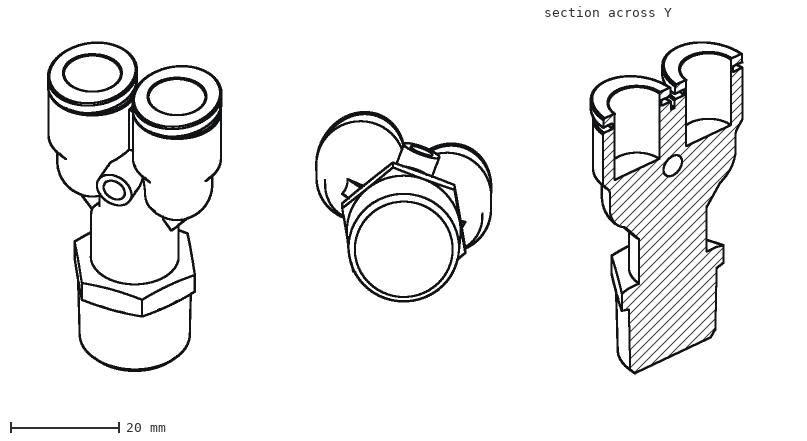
import cadquery as cq
import math

TOTAL_HEIGHT = 61.0
SOCKET_SPACING = 17.0

THREAD_TOP_RADIUS = 10.5
THREAD_END_RADIUS = 10.2
THREAD_TIP_RADIUS = 9.0
THREAD_TIP_HEIGHT = 1.35

HEX_ACROSS_FLATS = 21.0
HEX_BOTTOM = 15.05
HEX_TOP = 19.95
HEX_CHAMFER_ANGLE = 15.0

STEM_RADIUS = 8.1
STEM_NECK_RADIUS = 6.5
STEM_SHOULDER_BOTTOM = 29.95
STEM_SHOULDER_TOP = 32.0
STEM_SHOULDER_FILLET = 0.85
STEM_DOME_HEIGHT = 39.5

SOCKET_RADIUS = 16.3 / 2
SOCKET_NECK_RADIUS = STEM_NECK_RADIUS
SOCKET_TOP = 57.75
SOCKET_TOP_CHAMFER = 0.25
SOCKET_SHOULDER_TOP = 46.0
SOCKET_SHOULDER_BOTTOM = 43.9
SOCKET_SHOULDER_FILLET = 0.85
DOME_CENTER_HEIGHT = 39.9

RING_WIDTH = 16.05
RING_LENGTH = 18.6
RING_BOTTOM = 58.9
RING_CHAMFER = 0.3
COLLAR_RADIUS = 11.8 / 2
BORE_RADIUS = 5.25
BORE_CHAMFER = 0.2
BORE_DEPTH = TOTAL_HEIGHT - SOCKET_SHOULDER_TOP

BOSS_RADIUS = 3.5
BOSS_LENGTH = 18.9
BOSS_HEIGHT = 42.95
BOSS_HOLE_RADIUS = 2.15

WEB_THICKNESS = 3.0
WEB_TOP = 55.9
GUSSET_OUTER_X = 11.85
GUSSET_OUTER_HEIGHT = 34.65


def revolve_polyline(profile):
    """Solid of revolution about Z from (radius, height) points."""
    return cq.Workplane("XZ").polyline(profile).close().revolve(360, (0, 0), (0, 1))


def round_shoulder(body, bottom, top, fillet):
    """Round both circular edges of a cone between two heights."""
    for height in (bottom, top):
        band = cq.selectors.BoxSelector(
            (-TOTAL_HEIGHT, -TOTAL_HEIGHT, height - fillet),
            (TOTAL_HEIGHT, TOTAL_HEIGHT, height + fillet),
        )
        body = body.edges("%CIRCLE").edges(band).fillet(fillet)
    return body


def thread():
    """Slightly tapered plug with a coned tip, up to the hexagon."""
    profile = [
        (0, 0),
        (THREAD_TIP_RADIUS, 0),
        (THREAD_END_RADIUS, THREAD_TIP_HEIGHT),
        (THREAD_TOP_RADIUS, HEX_BOTTOM),
        (0, HEX_BOTTOM),
    ]
    return revolve_polyline(profile)


def hexagon():
    """Hexagon with flats facing Y and its corners turned off at both ends."""
    flat_radius = HEX_ACROSS_FLATS / 2
    corner_radius = flat_radius / math.cos(math.pi / 6)
    corner_drop = (corner_radius - flat_radius) * math.tan(math.radians(HEX_CHAMFER_ANGLE))
    height = HEX_TOP - HEX_BOTTOM
    prism = (
        cq.Workplane("XY")
        .workplane(offset=HEX_BOTTOM)
        .polygon(6, 2 * corner_radius)
        .extrude(height)
    )
    turned_profile = [
        (0, HEX_BOTTOM),
        (flat_radius, HEX_BOTTOM),
        (corner_radius, HEX_BOTTOM + corner_drop),
        (corner_radius, HEX_TOP - corner_drop),
        (flat_radius, HEX_TOP),
        (0, HEX_TOP),
    ]
    turned = revolve_polyline(turned_profile)
    return prism.intersect(turned)


def stem():
    """Shouldered round stem on the hexagon, closed by a spherical upper end."""
    dome_middle = (
        STEM_NECK_RADIUS * math.sin(math.pi / 4),
        STEM_DOME_HEIGHT + STEM_NECK_RADIUS * math.cos(math.pi / 4),
    )
    body = (
        cq.Workplane("XZ")
        .moveTo(0, HEX_TOP)
        .lineTo(STEM_RADIUS, HEX_TOP)
        .lineTo(STEM_RADIUS, STEM_SHOULDER_BOTTOM)
        .lineTo(STEM_NECK_RADIUS, STEM_SHOULDER_TOP)
        .lineTo(STEM_NECK_RADIUS, STEM_DOME_HEIGHT)
        .threePointArc(dome_middle, (0, STEM_DOME_HEIGHT + STEM_NECK_RADIUS))
        .close()
        .revolve(360, (0, 0), (0, 1))
    )
    return round_shoulder(body, STEM_SHOULDER_BOTTOM, STEM_SHOULDER_TOP, STEM_SHOULDER_FILLET)


def socket(x):
    """Push-in socket with a rounded shoulder and a spherical lower end."""
    dome_bottom = DOME_CENTER_HEIGHT - SOCKET_NECK_RADIUS
    dome_middle = (
        SOCKET_NECK_RADIUS * math.cos(math.pi / 4),
        DOME_CENTER_HEIGHT - SOCKET_NECK_RADIUS * math.sin(math.pi / 4),
    )
    body = (
        cq.Workplane("XZ")
        .moveTo(0, dome_bottom)
        .threePointArc(dome_middle, (SOCKET_NECK_RADIUS, DOME_CENTER_HEIGHT))
        .lineTo(SOCKET_NECK_RADIUS, SOCKET_SHOULDER_BOTTOM)
        .lineTo(SOCKET_RADIUS, SOCKET_SHOULDER_TOP)
        .lineTo(SOCKET_RADIUS, SOCKET_TOP)
        .lineTo(0, SOCKET_TOP)
        .close()
        .revolve(360, (0, 0), (0, 1))
    )
    body = round_shoulder(body, SOCKET_SHOULDER_BOTTOM, SOCKET_SHOULDER_TOP, SOCKET_SHOULDER_FILLET)
    return body.faces(">Z").edges().chamfer(SOCKET_TOP_CHAMFER).translate((x, 0, 0))


def release_ring(x):
    """Oval flange on a round collar standing on the socket."""
    collar = (
        cq.Workplane("XY")
        .workplane(offset=SOCKET_TOP)
        .circle(COLLAR_RADIUS)
        .extrude(RING_BOTTOM - SOCKET_TOP)
    )
    flange = (
        cq.Workplane("XY")
        .workplane(offset=RING_BOTTOM)
        .ellipse(RING_WIDTH / 2, RING_LENGTH / 2)
        .extrude(TOTAL_HEIGHT - RING_BOTTOM)
        .faces(">Z")
        .edges()
        .chamfer(RING_CHAMFER)
    )
    return collar.union(flange).translate((x, 0, 0))


def bore(x):
    """Blind tube bore with a small chamfer at its mouth."""
    floor = TOTAL_HEIGHT - BORE_DEPTH
    profile = [
        (0, floor),
        (BORE_RADIUS, floor),
        (BORE_RADIUS, TOTAL_HEIGHT - BORE_CHAMFER),
        (BORE_RADIUS + BORE_CHAMFER, TOTAL_HEIGHT),
        (0, TOTAL_HEIGHT),
    ]
    cutter = revolve_polyline(profile)
    return cutter.translate((x, 0, 0))


def rod_along_y(radius):
    """Round bar through the middle of the boss, as long as the boss."""
    return cq.Workplane("XZ").center(0, BOSS_HEIGHT).circle(radius).extrude(BOSS_LENGTH / 2, both=True)


def web():
    """Flat plate joining the sockets, with sloping gussets down to the stem shoulder."""
    half_spacing = SOCKET_SPACING / 2
    outline = [
        (-STEM_RADIUS, STEM_SHOULDER_BOTTOM),
        (STEM_RADIUS, STEM_SHOULDER_BOTTOM),
        (GUSSET_OUTER_X, GUSSET_OUTER_HEIGHT),
        (half_spacing, DOME_CENTER_HEIGHT),
        (half_spacing, WEB_TOP),
        (-half_spacing, WEB_TOP),
        (-half_spacing, DOME_CENTER_HEIGHT),
        (-GUSSET_OUTER_X, GUSSET_OUTER_HEIGHT),
    ]
    return cq.Workplane("XZ").polyline(outline).close().extrude(WEB_THICKNESS / 2, both=True)


socket_positions = (-SOCKET_SPACING / 2, SOCKET_SPACING / 2)

result = thread().union(hexagon()).union(stem()).union(web()).union(rod_along_y(BOSS_RADIUS))
for x in socket_positions:
    result = result.union(socket(x)).union(release_ring(x))
for x in socket_positions:
    result = result.cut(bore(x))
result = result.cut(rod_along_y(BOSS_HOLE_RADIUS))